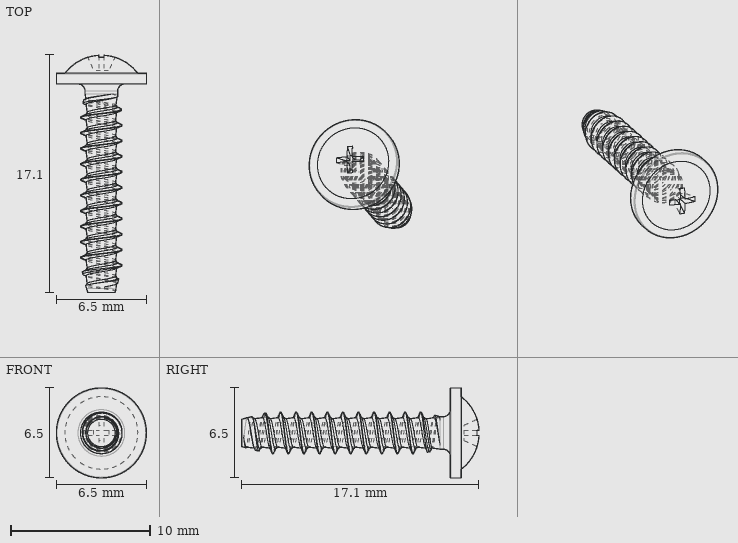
import cadquery as cq
import math


collar_radius = 3.25
collar_thickness = 0.8
collar_edge_radius = 0.06
dome_base_radius = 2.62
dome_height = 1.29
head_height = collar_thickness + dome_height

recess_reach = 1.05
recess_floor_reach = 0.55
recess_depth = 1.1
recess_wing_width = 0.36

length = 15.0
neck_radius = 1.18
neck_fillet = 0.5
neck_length = 0.72
neck_taper_end = 1.7
tip_radius = 0.985
tip_taper_radius = 1.08
tip_taper_length = 0.3

pitch = 1.12
crest_radius = 1.5
crest_half_width = 0.02
upper_flank_width = 0.18
upper_flank_radius = 1.15
root_width = 0.36
root_radius = 1.03
lower_flank_width = 0.18
lower_flank_radius = 1.11
groove_clearance = 0.2
last_crest_z = -14.16
groove_turns = 14
run_in_length = 1.35
run_out_length = 1.95


def make_head():
    """Collar with softened edges, topped by a spherical dome."""
    collar = (
        cq.Workplane("XY")
        .circle(collar_radius)
        .extrude(collar_thickness)
        .edges()
        .fillet(collar_edge_radius)
    )
    sphere_radius = (dome_base_radius**2 + dome_height**2) / (2 * dome_height)
    half_angle = math.asin(dome_base_radius / sphere_radius) / 2
    mid_point = (
        sphere_radius * math.sin(half_angle),
        head_height - sphere_radius * (1 - math.cos(half_angle)),
    )
    dome_floor = collar_thickness / 2
    dome = (
        cq.Workplane("YZ")
        .moveTo(0, dome_floor)
        .lineTo(dome_base_radius, dome_floor)
        .lineTo(dome_base_radius, collar_thickness)
        .threePointArc(mid_point, (0, head_height))
        .close()
        .revolve(360, (0, 0), (0, 1))
    )
    return collar.union(dome)


def make_recess():
    """Two crossed wings whose outer ends taper inward towards the floor."""
    floor_z = head_height - recess_depth
    wing = (
        cq.Workplane("XZ")
        .moveTo(-recess_floor_reach, floor_z)
        .lineTo(recess_floor_reach, floor_z)
        .lineTo(recess_reach, head_height)
        .lineTo(-recess_reach, head_height)
        .close()
        .extrude(recess_wing_width / 2, both=True)
    )
    return wing.union(wing.rotate((0, 0, 0), (0, 0, 1), 90))


def revolve_outline(outline):
    """Solid of revolution about Z from a closed half outline drawn as (radius, height)."""
    return outline.close().revolve(360, (0, 0), (0, 1))


def make_shank_blank():
    """Neck with a concave fillet, and a crest-size body tapering in at both ends."""
    fillet_mid = neck_fillet * (1 - math.sqrt(0.5))
    overlap = collar_thickness / 2
    outline = (
        cq.Workplane("YZ")
        .moveTo(0, overlap)
        .lineTo(neck_radius + neck_fillet, overlap)
        .lineTo(neck_radius + neck_fillet, 0)
        .threePointArc((neck_radius + fillet_mid, -fillet_mid), (neck_radius, -neck_fillet))
        .lineTo(neck_radius, -neck_length)
        .lineTo(crest_radius, -neck_length - run_in_length)
        .lineTo(crest_radius, run_out_length - length)
        .lineTo(tip_taper_radius, tip_taper_length - length)
        .lineTo(tip_radius, -length)
        .lineTo(0, -length)
    )
    return revolve_outline(outline)


def make_neck_core():
    """Tapered core under the neck that the thread groove leaves uncut."""
    inner_radius = root_radius / 2
    taper_slope = (neck_radius - root_radius) / (neck_taper_end - neck_length)
    taper_drop = (neck_radius - inner_radius) / taper_slope
    outline = (
        cq.Workplane("YZ")
        .moveTo(inner_radius, pitch)
        .lineTo(crest_radius + pitch, pitch)
        .lineTo(crest_radius + pitch, -neck_length)
        .lineTo(neck_radius, -neck_length)
        .lineTo(inner_radius, -neck_length - taper_drop)
    )
    return revolve_outline(outline)


def make_groove():
    """Right-hand helical groove between the thread turns, fading out at the neck."""
    outer_radius = crest_radius + groove_clearance
    section = [
        (outer_radius, crest_half_width),
        (crest_radius, crest_half_width),
        (upper_flank_radius, upper_flank_width),
        (root_radius, root_width),
        (lower_flank_radius, pitch - lower_flank_width),
        (crest_radius, pitch - crest_half_width),
        (outer_radius, pitch - crest_half_width),
    ]
    helix = cq.Wire.makeHelix(pitch, pitch * groove_turns, crest_radius)
    groove = (
        cq.Workplane("XZ")
        .polyline(section)
        .close()
        .sweep(cq.Workplane(obj=helix), isFrenet=True)
        .translate((0, 0, last_crest_z - 2 * pitch))
    )
    return groove.cut(make_neck_core())


shank = make_shank_blank().cut(make_groove())
screw = make_head().union(shank).cut(make_recess())
result = screw.rotate((0, 0, 0), (1, 0, 0), -90)